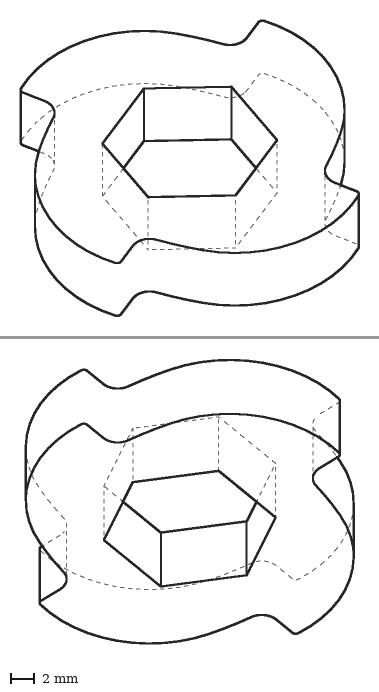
import cadquery as cq
import math

thickness = 6.35
tooth_count = 4
outer_reach = 15.465
tooth_face_offset = 1.5875
back_radius = 11.34
back_center_x = -0.35
blend_radius = 31.5
blend_angle = math.radians(14.8)
tip_fillet = 0.38
root_fillet = 1.6
hex_sides = 6
hex_across_flats = 12.7

back_center = cq.Vector(back_center_x, outer_reach - back_radius)
blend_normal = cq.Vector(math.cos(blend_angle), math.sin(blend_angle))
blend_start = back_center + blend_normal * back_radius
blend_center = blend_start - blend_normal * blend_radius
hex_across_corners = hex_across_flats / math.cos(math.pi / hex_sides)
half_side_angle = 180 / hex_sides
tooth_pitch = 360 / tooth_count


def arc_point(center, radius, angle):
    """Point on a circle at an angle in radians from +X."""
    return center + cq.Vector(math.cos(angle), math.sin(angle)) * radius


def tooth_points():
    """Points of the tooth above the centre: tip, back arc, blend arc and root."""
    tip_angle = math.acos((-tooth_face_offset - back_center.x) / back_radius)
    root_angle = math.asin((tooth_face_offset - blend_center.y) / blend_radius)
    tip = arc_point(back_center, back_radius, tip_angle)
    back_middle = arc_point(back_center, back_radius, (tip_angle + blend_angle) / 2)
    blend_middle = arc_point(blend_center, blend_radius, (blend_angle + root_angle) / 2)
    root = arc_point(blend_center, blend_radius, root_angle)
    return tip, back_middle, blend_middle, root


def turned(point, index):
    """Point carried clockwise from the first tooth to the tooth with this index."""
    angle = -math.radians(index * tooth_pitch)
    x = point.x * math.cos(angle) - point.y * math.sin(angle)
    y = point.x * math.sin(angle) + point.y * math.cos(angle)
    return x, y


def make_cutter_blank():
    """Plate with swept-back teeth, before its corners are rounded."""
    tip, back_middle, blend_middle, root = tooth_points()
    outline = cq.Workplane("XY").moveTo(tip.x, tip.y)
    for index in range(tooth_count):
        outline = outline.threePointArc(turned(back_middle, index), turned(blend_start, index))
        outline = outline.threePointArc(turned(blend_middle, index), turned(root, index))
        if index < tooth_count - 1:
            outline = outline.lineTo(*turned(tip, index + 1))
    return outline.close().extrude(thickness)


def round_corners(body, corner, radius):
    """Fillet the upright edge at the same corner of every tooth."""
    for index in range(tooth_count):
        x, y = turned(corner, index)
        edge = cq.selectors.NearestToPointSelector((x, y, thickness / 2))
        body = body.edges("|Z").edges(edge).fillet(radius)
    return body


def make_hex_bore():
    """Hexagonal prism with two corners on the Y axis."""
    prism = cq.Workplane("XY").polygon(hex_sides, hex_across_corners).extrude(thickness)
    return prism.rotate((0, 0, 0), (0, 0, 1), half_side_angle)


tip_corner, _, _, root_corner = tooth_points()
cutter = make_cutter_blank()
cutter = round_corners(cutter, root_corner, root_fillet)
cutter = round_corners(cutter, tip_corner, tip_fillet)
result = cutter.cut(make_hex_bore())